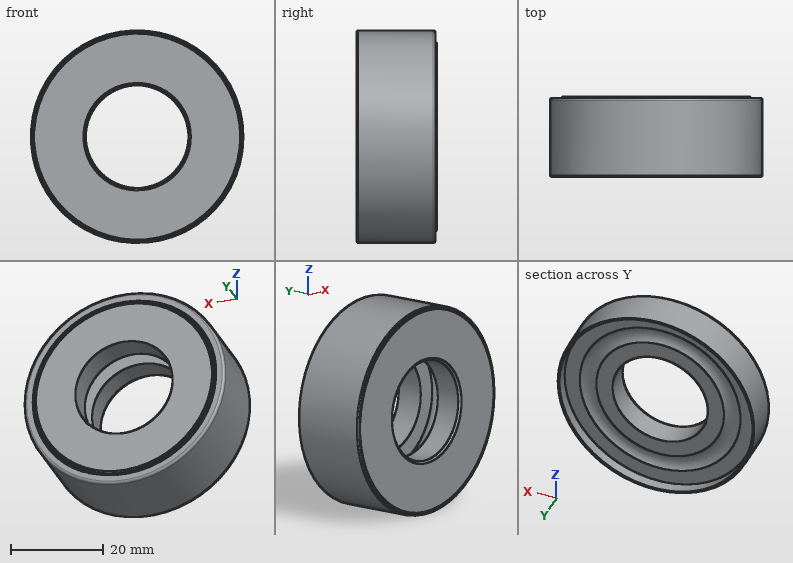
import cadquery as cq

outer_diameter = 46.05
total_width = 17.45
outer_radius = outer_diameter / 2
front_y = -total_width / 2
rear_y = total_width / 2

rear_step = 0.3
casing_rear_y = rear_y - rear_step
casing_inner_radius = 45.05 / 2
lip_inner_radius = 42.0 / 2
lip_thickness = outer_radius - casing_inner_radius
rear_fillet = 0.6
front_chamfer = 0.35

bore_radius = 22.25 / 2
bore_chamfer = 0.5
washer_thickness = 6.3
front_washer_radius = 44.65 / 2
rear_collar_radius = 41.05 / 2
rear_collar_chamfer = 0.35
race_center_radius = 16.85
race_half_width = 1.95
race_depth = 0.85


def revolve_about_y(profile):
    """Turn a closed (radius, y) profile around the bearing axis."""
    return profile.close().revolve(360, (0, 0, 0), (0, 1, 0))


def make_casing():
    lip_inner_y = casing_rear_y - lip_thickness
    profile = (
        cq.Workplane("XY")
        .moveTo(casing_inner_radius, front_y)
        .lineTo(outer_radius - front_chamfer, front_y)
        .lineTo(outer_radius, front_y + front_chamfer)
        .lineTo(outer_radius, casing_rear_y - rear_fillet)
        .radiusArc((outer_radius - rear_fillet, casing_rear_y), -rear_fillet)
        .lineTo(lip_inner_radius, casing_rear_y)
        .lineTo(lip_inner_radius, lip_inner_y)
        .lineTo(casing_inner_radius, lip_inner_y)
    )
    return revolve_about_y(profile)


def make_front_washer():
    race_y = front_y + washer_thickness
    profile = (
        cq.Workplane("XY")
        .moveTo(bore_radius + bore_chamfer, front_y)
        .lineTo(front_washer_radius, front_y)
        .lineTo(front_washer_radius, race_y)
        .lineTo(race_center_radius + race_half_width, race_y)
        .threePointArc(
            (race_center_radius, race_y - race_depth),
            (race_center_radius - race_half_width, race_y),
        )
        .lineTo(bore_radius, race_y)
        .lineTo(bore_radius, front_y + bore_chamfer)
    )
    return revolve_about_y(profile)


def make_rear_washer():
    race_y = rear_y - washer_thickness
    lip_inner_y = casing_rear_y - lip_thickness
    profile = (
        cq.Workplane("XY")
        .moveTo(bore_radius, race_y)
        .lineTo(race_center_radius - race_half_width, race_y)
        .threePointArc(
            (race_center_radius, race_y + race_depth),
            (race_center_radius + race_half_width, race_y),
        )
        .lineTo(casing_inner_radius, race_y)
        .lineTo(casing_inner_radius, lip_inner_y)
        .lineTo(rear_collar_radius, lip_inner_y)
        .lineTo(rear_collar_radius, rear_y - rear_collar_chamfer)
        .lineTo(rear_collar_radius - rear_collar_chamfer, rear_y)
        .lineTo(bore_radius, rear_y)
    )
    return revolve_about_y(profile)


casing = make_casing()
front_washer = make_front_washer()
rear_washer = make_rear_washer()
result = cq.Compound.makeCompound([casing.val(), front_washer.val(), rear_washer.val()])